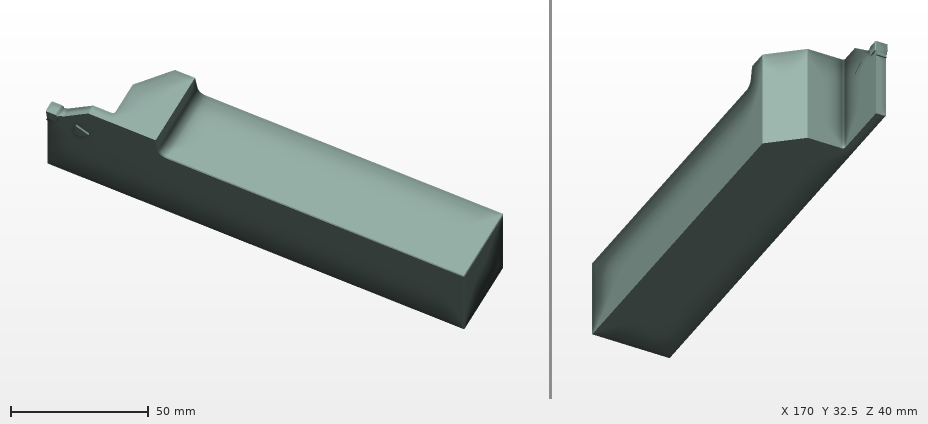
import cadquery as cq

overall_length = 170.0
overall_height = 40.0
shank_height = 32.0
shank_depth = 32.0
tip_overhang = 0.7
edge_chamfer = 0.3

ramp_foot = (7.1, 32.3)
ramp_top_x = 17.2
head_end_x = 44.5
head_wall_foot_x = 46.0
head_wall_radius = 3.4
blade_thickness = 4.0
shoulder_x = 25.7
shoulder_bevel_x = 36.4
shoulder_bevel_y = 19.0
blade_root_radius = 1.0

end_bulge = 0.5
nose_radius = 0.3
insert_top_z = shank_height
insert_bottom_z = 26.0
tip_top_x = 4.0
rake_step = (5.1, 31.5)
seat_start = (5.0, insert_bottom_z)
seat_middle = (9.7, 24.8)
seat_end = (13.8, 22.8)
tail_point = (17.5, 27.9)
tail_rake_start = (12.2, 30.3)
tail_rise = (11.5, 31.1)
tip_bulge_bottom_z = 28.0
tip_relief_x = 0.5
tip_bulge_back_x = 4.0
tail_bulge_end = (16.0, 26.2)
tail_bulge_bottom = (13.5, 24.8)
tail_bulge_heel = (11.4, 26.2)
tail_bulge_back = (11.9, 27.9)
tail_gap = 0.5


def side_plate(wire, front_y, back_y):
    """Extrude a closed XZ outline between two Y positions."""
    return wire.extrude(front_y - back_y).translate((0, front_y, 0))


def insert_outline():
    """Side outline of the insert, from the cutting tip to the tail."""
    return (
        cq.Workplane("XZ")
        .moveTo(0, insert_bottom_z)
        .lineTo(*seat_start)
        .threePointArc(seat_middle, seat_end)
        .lineTo(*tail_point)
        .lineTo(*tail_rake_start)
        .lineTo(*tail_rise)
        .lineTo(*ramp_foot)
        .lineTo(*rake_step)
        .lineTo(tip_top_x, insert_top_z)
        .lineTo(0, insert_top_z)
        .lineTo(tip_relief_x, tip_bulge_bottom_z)
        .close()
    )


def make_blank():
    """Shank and raised head in one side outline, full depth."""
    outline = (
        cq.Workplane("XZ")
        .moveTo(tip_overhang, 0)
        .lineTo(overall_length, 0)
        .lineTo(overall_length, shank_height)
        .lineTo(head_wall_foot_x, shank_height)
        .lineTo(head_end_x, overall_height)
        .lineTo(ramp_top_x, overall_height)
        .lineTo(*ramp_foot)
        .lineTo(*rake_step)
        .lineTo(tip_overhang, rake_step[1])
        .close()
    )
    blank = side_plate(outline, 0, shank_depth)
    wall_foot = cq.selectors.NearestToPointSelector((head_wall_foot_x, shank_depth / 2, shank_height))
    blank = blank.edges(wall_foot).fillet(head_wall_radius)
    blank = blank.faces(">X").edges().chamfer(edge_chamfer)
    bottom_front = cq.selectors.NearestToPointSelector((overall_length / 2, 0, 0))
    top_front = cq.selectors.NearestToPointSelector(((head_wall_foot_x + overall_length) / 2, 0, shank_height))
    blank = blank.edges(bottom_front).chamfer(edge_chamfer)
    return blank.edges(top_front).chamfer(edge_chamfer)


def blade_relief():
    """Material behind the blade, with a bevelled shoulder and rounded root."""
    relief = (
        cq.Workplane("XY")
        .moveTo(0, blade_thickness)
        .lineTo(shoulder_x, blade_thickness)
        .lineTo(shoulder_x, shoulder_bevel_y)
        .lineTo(shoulder_bevel_x, shank_depth)
        .lineTo(0, shank_depth)
        .close()
        .extrude(overall_height)
    )
    root = cq.selectors.NearestToPointSelector((shoulder_x, blade_thickness, overall_height / 2))
    return relief.edges(root).fillet(blade_root_radius)


def tail_clearance():
    """Narrow slot through the blade, above the rake face of the tail."""
    outline = (
        cq.Workplane("XZ")
        .moveTo(*tail_point)
        .lineTo(tail_point[0], tail_point[1] + tail_gap)
        .lineTo(tail_rake_start[0], tail_rake_start[1] + tail_gap)
        .lineTo(*tail_rake_start)
        .close()
    )
    return side_plate(outline, 0, blade_thickness)


def make_holder():
    pocket = side_plate(insert_outline(), 0, blade_thickness)
    return make_blank().cut(blade_relief()).cut(pocket).cut(tail_clearance())


def tip_bulge():
    """Wide cutting end in use."""
    outline = (
        cq.Workplane("XZ")
        .moveTo(tip_relief_x, tip_bulge_bottom_z)
        .lineTo(tip_bulge_back_x, tip_bulge_bottom_z)
        .lineTo(rake_step[0], rake_step[1])
        .lineTo(tip_top_x, insert_top_z)
        .lineTo(0, insert_top_z)
        .close()
    )
    front_y = -end_bulge
    back_y = blade_thickness + end_bulge
    bulge = side_plate(outline, front_y, back_y)
    nose_z = (tip_bulge_bottom_z + insert_top_z) / 2
    for corner_y in (front_y, back_y):
        nose = cq.selectors.NearestToPointSelector((tip_relief_x / 2, corner_y, nose_z))
        bulge = bulge.edges(nose).fillet(nose_radius)
    return bulge


def tail_bulge():
    """Wide cutting end in reserve; only its front side has room to stand proud."""
    outline = (
        cq.Workplane("XZ")
        .moveTo(*tail_rake_start)
        .lineTo(*tail_point)
        .lineTo(*tail_bulge_end)
        .lineTo(*tail_bulge_bottom)
        .lineTo(*tail_bulge_heel)
        .lineTo(*tail_bulge_back)
        .close()
    )
    return side_plate(outline, -end_bulge, blade_thickness)


def make_insert():
    body = side_plate(insert_outline(), 0, blade_thickness)
    return body.union(tip_bulge()).union(tail_bulge())


holder = make_holder()
insert = make_insert()
result = cq.Compound.makeCompound([holder.val(), insert.val()])